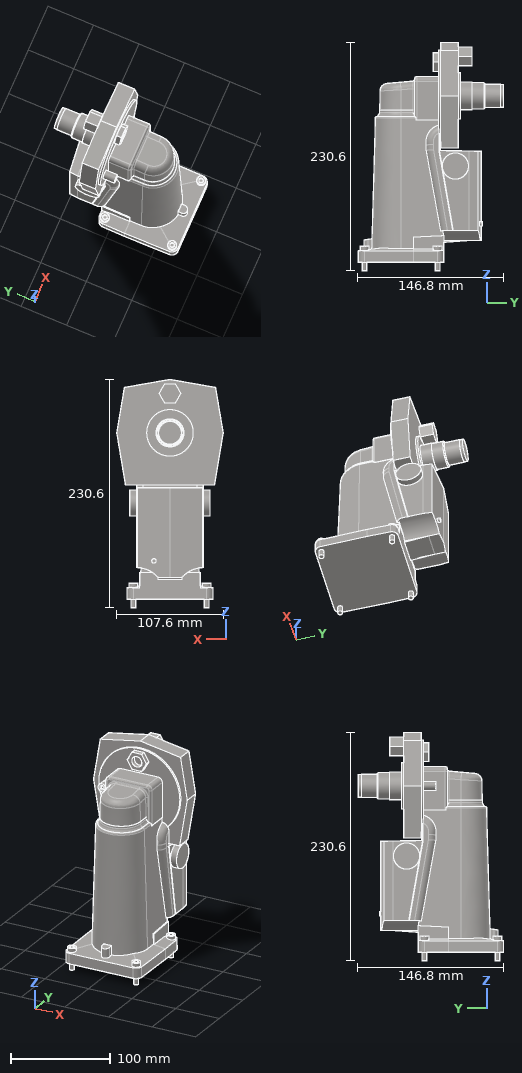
import cadquery as cq
import math

PLATE_HALF = 43.1
PLATE_CROWN_HALF = 43.6
PLATE_END_Y = 43.2
PLATE_EDGE_HEIGHT = 11.7
PLATE_CORNER_RADIUS = 6.5
APEX_Y = 12.4
APEX_HEIGHT = 18.5

SCREW_PITCH = 73.8
SCREW_HEAD_DIAMETER = 9.0
SCREW_HEAD_TOP = 16.3
SCREW_SHANK_DIAMETER = 5.0
SCREW_TIP_DEPTH = 8.62
SOCKET_ACROSS_CORNERS = 5.1
SOCKET_DEPTH = 2.5

TOWER_BASE_HEIGHT = 11.0
TOWER_TOP_HEIGHT = 147.4
TOWER_BASE_RADIUS = 30.0
TOWER_TOP_RADIUS = 26.1
TOWER_ARC_Y = 0.0
TOWER_BASE_BACK_Y = 43.2
TOWER_TOP_BACK_Y = 38.5
TOWER_RIM_FILLET = 1.9
PAD_HALF_WIDTH = 30.6
PAD_TOP_HEIGHT = 27.0
PAD_END_HEIGHT = 25.5

SELECTION_MARGIN = 0.5

CUT_OVERSHOOT = 1.0

HEAD_BASE_RADIUS = 22.0
HEAD_TOP_RADIUS = 21.0
HEAD_TOP_FRONT_HEIGHT = 180.0
HEAD_TOP_BACK_HEIGHT = 184.3
HEAD_FILLET = 8.0
SEAM_COVE_OUTER_RADIUS = 24.0
SEAM_COVE_MID = (22.4, 149.5)
SEAM_COVE_TOP_HEIGHT = 153.6
SEAM_COVE_TOP_RADIUS = 21.86
BLOCK_HALF_WIDTH = 26.4
BLOCK_FRONT_Y = 13.6
BLOCK_TOP_HEIGHT = 187.7
BLOCK_SIDE_FILLET = 5.0
BLOCK_FRONT_FILLET = 2.4
BLOCK_SEAM_FILLET = 1.8

PEG_DIAMETER = 8.8
PEG_FRONT_Y = -37.6
PEG_FRONT_HEIGHT = 22.7
PEG_BACK_HEIGHT = 23.9

AXIS_HEIGHT = 168.0
FLANGE_FRONT_Y = 40.0
FLANGE_BACK_Y = 57.9
FLANGE_WIDTH = 107.64
FLANGE_SHOULDER_HALF = 46.1
FLANGE_SHOULDER_HEIGHT = 213.9
FLANGE_TOP_HEIGHT = 222.0
FLANGE_BOTTOM_HALF = 45.0
FLANGE_BOTTOM_HEIGHT = 115.3
FRONT_DISC_DIAMETER = 93.0
FRONT_DISC_Y = 37.7
NUT_HEIGHT = 202.0
BOLT_HEAD_HEIGHT = 207.8
HEX_ACROSS_FLATS = 19.0
HEX_FRONT_Y = 32.4
HEX_BACK_Y = 71.8
HEX_BORE_DIAMETER = 11.45
FLANGE_SCREW_X = -36.0
FLANGE_SCREW_FRONT_Y = 25.2

SHAFT_STEPS = [
    (47.0, 60.1, 0),
    (28.3, 71.8, 0),
    (27.0, 84.7, 1.2),
    (23.5, 100.4, 0),
    (23.0, 103.59, 0),
]

HOUSING_HALF_WIDTH = 33.7
HOUSING_REAR_HALF_WIDTH = 32.8
HOUSING_BEND_Y = 68.5
HOUSING_EAVE_Y = 77.5
HOUSING_RIDGE_Y = 81.0
HOUSING_TOP_HEIGHT = 113.0
HOUSING_BEND_TOP_HEIGHT = 112.5
HOUSING_REAR_TOP_HEIGHT = 112.2
HOUSING_BOTTOM_HEIGHT = 22.0
HOUSING_BOTTOM_FRONT_HEIGHT = 20.0
HOUSING_FOOT_Y = 41.2
HOUSING_FRONT_Y = 25.3
SADDLE_SHOULDER_HEIGHT = 118.5
SADDLE_TOP_HEIGHT = 138.5
SADDLE_BACK_Y = 38.1
SADDLE_FILLET = 7.5
COVE_START_HEIGHT = 32.0
COVE_MID = (20.0, 28.5)
COVE_END_HALF_WIDTH = 12.0
GROOVE_WIDTH = 0.6
GROOVE_DEPTH = 0.3
GROOVE_FOOT_Y = 54.2
KNOB_DIAMETER = 26.44
KNOB_HALF_LENGTH = 40.6
KNOB_Y = 54.8
KNOB_HEIGHT = 97.2
BUTTON_DIAMETER = 4.5
BUTTON_X = 16.2
BUTTON_HEIGHT = 38.8
BUTTON_END_Y = 82.0


def cylinder_along_y(x, z, diameter, y_start, y_end):
    plane = cq.Plane(origin=(x, y_start, z), xDir=(1, 0, 0), normal=(0, 1, 0))
    return cq.Workplane(plane).circle(diameter / 2).extrude(y_end - y_start)


def profile_across_x(half_width):
    """Workplane with local axes Y and Z, set at the -X end of a symmetric extrusion."""
    return cq.Workplane("YZ", origin=(-half_width, 0, 0))


def base_plate():
    """Plate whose top is a shallow pyramid; its apex lies inside the tower."""
    outline = [
        (-PLATE_HALF, -PLATE_END_Y),
        (PLATE_HALF, -PLATE_END_Y),
        (PLATE_CROWN_HALF, APEX_Y),
        (PLATE_HALF, PLATE_END_Y),
        (-PLATE_HALF, PLATE_END_Y),
        (-PLATE_CROWN_HALF, APEX_Y),
    ]
    rim = [cq.Vector(x, y, PLATE_EDGE_HEIGHT) for x, y in outline]
    apex = cq.Vector(0, APEX_Y, APEX_HEIGHT)
    faces = [cq.Face.makeFromWires(cq.Wire.makePolygon(rim, close=True))]
    for start, end in zip(rim, rim[1:] + rim[:1]):
        faces.append(cq.Face.makeFromWires(cq.Wire.makePolygon([start, end, apex], close=True)))
    pyramid = cq.Solid.makeSolid(cq.Shell.makeShell(faces))
    slab = cq.Workplane("XY").polyline(outline).close().extrude(PLATE_EDGE_HEIGHT)
    prism = cq.Workplane("XY").polyline(outline).close().extrude(APEX_HEIGHT)
    corners = prism.edges("|Z").edges("<Y or >Y")
    return slab.union(cq.Workplane(pyramid)).intersect(corners.fillet(PLATE_CORNER_RADIUS))


def hex_socket(plane):
    return cq.Workplane(plane).polygon(6, SOCKET_ACROSS_CORNERS).extrude(SOCKET_DEPTH)


def base_screw(x, y):
    shank = (
        cq.Workplane("XY", origin=(x, y, -SCREW_TIP_DEPTH))
        .circle(SCREW_SHANK_DIAMETER / 2)
        .extrude(SCREW_TIP_DEPTH + PLATE_EDGE_HEIGHT)
    )
    head = (
        cq.Workplane("XY", origin=(x, y, PLATE_EDGE_HEIGHT / 2))
        .circle(SCREW_HEAD_DIAMETER / 2)
        .extrude(SCREW_HEAD_TOP - PLATE_EDGE_HEIGHT / 2)
    )
    socket_plane = cq.Plane(origin=(x, y, SCREW_HEAD_TOP), xDir=(0, 1, 0), normal=(0, 0, -1))
    return shank.union(head).cut(hex_socket(socket_plane))


def u_section(workplane, radius, back_y):
    """U outline: a half round of the given radius towards -Y, with straight sides to back_y."""
    return (
        workplane.moveTo(-radius, back_y)
        .lineTo(-radius, TOWER_ARC_Y)
        .threePointArc((0, TOWER_ARC_Y - radius), (radius, TOWER_ARC_Y))
        .lineTo(radius, back_y)
        .close()
    )


def tapered_u(z_bottom, z_top, bottom_radius, top_radius, bottom_back_y, top_back_y):
    base = cq.Workplane("XY", origin=(0, 0, z_bottom))
    bottom = u_section(base, bottom_radius, bottom_back_y)
    raised = bottom.workplane(offset=z_top - z_bottom)
    return u_section(raised, top_radius, top_back_y).loft(ruled=True)


def tower():
    body = tapered_u(
        TOWER_BASE_HEIGHT, TOWER_TOP_HEIGHT,
        TOWER_BASE_RADIUS, TOWER_TOP_RADIUS,
        TOWER_BASE_BACK_Y, TOWER_TOP_BACK_Y,
    )
    body = body.faces(">Z").edges("not >Y").fillet(TOWER_RIM_FILLET)
    pad = (
        profile_across_x(PAD_HALF_WIDTH)
        .moveTo(TOWER_BASE_BACK_Y, TOWER_BASE_HEIGHT)
        .lineTo(TOWER_BASE_BACK_Y, PAD_TOP_HEIGHT)
        .lineTo(APEX_Y, PAD_END_HEIGHT)
        .lineTo(APEX_Y, TOWER_BASE_HEIGHT)
        .close()
        .extrude(2 * PAD_HALF_WIDTH)
    )
    return body.union(pad)


def head():
    """U-shaped head with a top that slopes down to the front."""
    bottom = TOWER_TOP_HEIGHT - TOWER_RIM_FILLET
    back = (BLOCK_FRONT_Y + FLANGE_FRONT_Y) / 2
    body = tapered_u(bottom, BLOCK_TOP_HEIGHT, HEAD_BASE_RADIUS, HEAD_TOP_RADIUS, back, back)
    envelope = (
        profile_across_x(HEAD_BASE_RADIUS)
        .moveTo(back, bottom)
        .lineTo(back, HEAD_TOP_BACK_HEIGHT)
        .lineTo(-HEAD_BASE_RADIUS, HEAD_TOP_FRONT_HEIGHT)
        .lineTo(-HEAD_BASE_RADIUS, bottom)
        .close()
        .extrude(2 * HEAD_BASE_RADIUS)
    )
    return body.intersect(envelope)


def seam_cove_section():
    """Half section of the seam cove, drawn from the middle outwards."""
    bottom = TOWER_TOP_HEIGHT - TOWER_RIM_FILLET
    plane = cq.Plane(origin=(0, TOWER_ARC_Y, 0), xDir=(1, 0, 0), normal=(0, -1, 0))
    return (
        cq.Workplane(plane)
        .moveTo(0, bottom)
        .lineTo(SEAM_COVE_OUTER_RADIUS, bottom)
        .lineTo(SEAM_COVE_OUTER_RADIUS, TOWER_TOP_HEIGHT)
        .threePointArc(SEAM_COVE_MID, (SEAM_COVE_TOP_RADIUS, SEAM_COVE_TOP_HEIGHT))
        .lineTo(0, SEAM_COVE_TOP_HEIGHT)
        .close()
    )


def seam_cove():
    """Concave transition between the rim of the tower and the domed head, following the U outline."""
    round_front = seam_cove_section().revolve(360, (0, 0), (0, 1))
    length = BLOCK_FRONT_Y + BLOCK_FRONT_FILLET - TOWER_ARC_Y
    straight_side = seam_cove_section().extrude(-length)
    return round_front.union(straight_side).union(straight_side.mirror("YZ"))


def shoulder_block():
    bottom = TOWER_TOP_HEIGHT - 2 * TOWER_RIM_FILLET
    block = (
        cq.Workplane("XY")
        .box(
            2 * BLOCK_HALF_WIDTH,
            FLANGE_FRONT_Y - BLOCK_FRONT_Y,
            BLOCK_TOP_HEIGHT - bottom,
            centered=(True, False, False),
        )
        .translate((0, BLOCK_FRONT_Y, bottom))
    )
    block = block.edges("|Y and >Z").fillet(BLOCK_SIDE_FILLET)
    return block.faces("<Y").edges("not <Z").fillet(BLOCK_FRONT_FILLET)


def head_with_block():
    """Domed head joined to the shoulder block, with a concave fillet where they meet."""
    domed = head().faces(">Z").edges("not >Y").fillet(HEAD_FILLET)
    seam = cq.selectors.BoxSelector(
        (-HEAD_BASE_RADIUS, BLOCK_FRONT_Y - SELECTION_MARGIN, TOWER_TOP_HEIGHT),
        (HEAD_BASE_RADIUS, BLOCK_FRONT_Y + SELECTION_MARGIN, HEAD_TOP_BACK_HEIGHT),
    )
    return domed.union(shoulder_block()).edges(seam).fillet(BLOCK_SEAM_FILLET)


def peg():
    """Upright peg with a round front and a sloping top, merging into the foot of the tower."""
    back_y = -TOWER_BASE_RADIUS + PEG_DIAMETER / 2
    length = back_y - PEG_FRONT_Y + PEG_DIAMETER / 2
    center_y = PEG_FRONT_Y + length / 2
    blank = (
        cq.Workplane("XY", origin=(0, center_y, TOWER_BASE_HEIGHT))
        .slot2D(length, PEG_DIAMETER, 90)
        .extrude(PEG_BACK_HEIGHT - TOWER_BASE_HEIGHT)
    )
    envelope = (
        profile_across_x(PEG_DIAMETER)
        .moveTo(PEG_FRONT_Y, TOWER_BASE_HEIGHT)
        .lineTo(PEG_FRONT_Y, PEG_FRONT_HEIGHT)
        .lineTo(-TOWER_BASE_RADIUS, PEG_BACK_HEIGHT)
        .lineTo(back_y + PEG_DIAMETER, PEG_BACK_HEIGHT)
        .lineTo(back_y + PEG_DIAMETER, TOWER_BASE_HEIGHT)
        .close()
        .extrude(2 * PEG_DIAMETER)
    )
    return blank.intersect(envelope)


def hex_along_y(z, y_start, y_end):
    plane = cq.Plane(origin=(0, y_start, z), xDir=(1, 0, 0), normal=(0, 1, 0))
    across_corners = HEX_ACROSS_FLATS / math.cos(math.pi / 6)
    return cq.Workplane(plane).polygon(6, across_corners).extrude(y_end - y_start)


def flange():
    plate = (
        cq.Workplane("XZ", origin=(0, FLANGE_BACK_Y, 0))
        .polyline([
            (0, FLANGE_TOP_HEIGHT),
            (FLANGE_SHOULDER_HALF, FLANGE_SHOULDER_HEIGHT),
            (FLANGE_WIDTH / 2, AXIS_HEIGHT),
            (FLANGE_BOTTOM_HALF, FLANGE_BOTTOM_HEIGHT),
            (-FLANGE_BOTTOM_HALF, FLANGE_BOTTOM_HEIGHT),
            (-FLANGE_WIDTH / 2, AXIS_HEIGHT),
            (-FLANGE_SHOULDER_HALF, FLANGE_SHOULDER_HEIGHT),
        ])
        .close()
        .extrude(FLANGE_BACK_Y - FLANGE_FRONT_Y)
    )
    disc = cylinder_along_y(0, AXIS_HEIGHT, FRONT_DISC_DIAMETER, FRONT_DISC_Y, FLANGE_BACK_Y)
    return plate.union(disc)


def flange_hardware():
    nut_bore = cylinder_along_y(0, NUT_HEIGHT, HEX_BORE_DIAMETER, HEX_FRONT_Y, FRONT_DISC_Y)
    nut = hex_along_y(NUT_HEIGHT, HEX_FRONT_Y, FLANGE_FRONT_Y).cut(nut_bore)
    bolt_head = hex_along_y(BOLT_HEAD_HEIGHT, FLANGE_FRONT_Y, HEX_BACK_Y)
    screw = cylinder_along_y(
        FLANGE_SCREW_X, AXIS_HEIGHT, SCREW_HEAD_DIAMETER, FLANGE_SCREW_FRONT_Y, FLANGE_FRONT_Y
    )
    socket_plane = cq.Plane(
        origin=(FLANGE_SCREW_X, FLANGE_SCREW_FRONT_Y, AXIS_HEIGHT), xDir=(0, 0, 1), normal=(0, 1, 0)
    )
    return nut.union(bolt_head).union(screw.cut(hex_socket(socket_plane)))


def shaft():
    start = FLANGE_FRONT_Y
    body = cq.Workplane("XY")
    for diameter, end, chamfer in SHAFT_STEPS:
        step = cylinder_along_y(0, AXIS_HEIGHT, diameter, start, end)
        if chamfer:
            step = step.faces(">Y").chamfer(chamfer)
        body = body.union(step)
        start = end
    return body


def housing_plan():
    """Housing outline in X and Y, with its low roof-shaped rear."""
    height = SADDLE_TOP_HEIGHT - HOUSING_BOTTOM_FRONT_HEIGHT
    return (
        cq.Workplane("XY", origin=(0, 0, HOUSING_BOTTOM_FRONT_HEIGHT))
        .polyline([
            (HOUSING_HALF_WIDTH, HOUSING_FRONT_Y),
            (HOUSING_HALF_WIDTH, HOUSING_BEND_Y),
            (HOUSING_REAR_HALF_WIDTH, HOUSING_EAVE_Y),
            (0, HOUSING_RIDGE_Y),
            (-HOUSING_REAR_HALF_WIDTH, HOUSING_EAVE_Y),
            (-HOUSING_HALF_WIDTH, HOUSING_BEND_Y),
            (-HOUSING_HALF_WIDTH, HOUSING_FRONT_Y),
        ])
        .close()
        .extrude(height)
    )


def housing_side():
    """Housing profile in Y and Z: sloping front, arched saddle at the top, rounded front edges."""
    rise = SADDLE_TOP_HEIGHT - SADDLE_SHOULDER_HEIGHT
    run = SADDLE_BACK_Y - HOUSING_FRONT_Y
    arc_mid = (
        SADDLE_BACK_Y - run * math.cos(math.pi / 4),
        SADDLE_SHOULDER_HEIGHT + rise * math.sin(math.pi / 4),
    )
    side = (
        profile_across_x(HOUSING_HALF_WIDTH)
        .moveTo(HOUSING_BEND_Y, HOUSING_BOTTOM_HEIGHT)
        .lineTo(HOUSING_RIDGE_Y, HOUSING_BOTTOM_HEIGHT)
        .lineTo(HOUSING_RIDGE_Y, HOUSING_REAR_TOP_HEIGHT)
        .lineTo(HOUSING_BEND_Y, HOUSING_BEND_TOP_HEIGHT)
        .lineTo(SADDLE_BACK_Y, HOUSING_TOP_HEIGHT)
        .lineTo(SADDLE_BACK_Y, SADDLE_TOP_HEIGHT)
        .threePointArc(arc_mid, (HOUSING_FRONT_Y, SADDLE_SHOULDER_HEIGHT))
        .lineTo(HOUSING_FRONT_Y, HOUSING_TOP_HEIGHT)
        .lineTo(HOUSING_FOOT_Y, HOUSING_BOTTOM_FRONT_HEIGHT)
        .close()
        .extrude(2 * HOUSING_HALF_WIDTH)
    )
    lowest = HOUSING_BOTTOM_FRONT_HEIGHT + SELECTION_MARGIN
    front_edges = cq.selectors.BoxSelector(
        (-2 * HOUSING_HALF_WIDTH, HOUSING_FRONT_Y - SELECTION_MARGIN, lowest),
        (2 * HOUSING_HALF_WIDTH, SADDLE_BACK_Y - SELECTION_MARGIN, SADDLE_TOP_HEIGHT),
    )
    return side.edges(front_edges).edges("not |X").fillet(SADDLE_FILLET)


def housing():
    body = housing_side().intersect(housing_plan())
    for direction in (-1, 1):
        body = body.cut(bottom_cove(direction)).cut(parting_groove(direction))
    return body


def parting_groove(direction):
    """Shallow sloping groove on one flank, where the rear cover meets the body."""
    return (
        cq.Workplane("YZ", origin=(direction * (HOUSING_HALF_WIDTH - GROOVE_DEPTH), 0, 0))
        .polyline([
            (SADDLE_BACK_Y, HOUSING_TOP_HEIGHT),
            (SADDLE_BACK_Y + GROOVE_WIDTH, HOUSING_TOP_HEIGHT),
            (GROOVE_FOOT_Y + GROOVE_WIDTH, HOUSING_BOTTOM_FRONT_HEIGHT),
            (GROOVE_FOOT_Y, HOUSING_BOTTOM_FRONT_HEIGHT),
        ])
        .close()
        .extrude(direction * (GROOVE_DEPTH + CUT_OVERSHOOT))
    )


def bottom_cove(direction):
    """Concave relief along one lower edge of the housing; direction is the sign of x."""
    cove_length = HOUSING_RIDGE_Y - HOUSING_FRONT_Y
    outer = direction * (HOUSING_HALF_WIDTH + CUT_OVERSHOOT)
    return (
        cq.Workplane("XZ", origin=(0, HOUSING_RIDGE_Y, 0))
        .moveTo(outer, COVE_START_HEIGHT)
        .lineTo(direction * HOUSING_HALF_WIDTH, COVE_START_HEIGHT)
        .threePointArc(
            (direction * COVE_MID[0], COVE_MID[1]),
            (direction * COVE_END_HALF_WIDTH, HOUSING_BOTTOM_HEIGHT),
        )
        .lineTo(direction * COVE_END_HALF_WIDTH, 0)
        .lineTo(outer, 0)
        .close()
        .extrude(cove_length)
    )


def housing_fittings():
    knobs = (
        cq.Workplane("YZ", origin=(-KNOB_HALF_LENGTH, KNOB_Y, KNOB_HEIGHT))
        .circle(KNOB_DIAMETER / 2)
        .extrude(2 * KNOB_HALF_LENGTH)
    )
    button = cylinder_along_y(BUTTON_X, BUTTON_HEIGHT, BUTTON_DIAMETER, HOUSING_BEND_Y, BUTTON_END_Y)
    return knobs.union(button)


def base_screws():
    half_pitch = SCREW_PITCH / 2
    corners = [(x, y) for x in (-half_pitch, half_pitch) for y in (-half_pitch, half_pitch)]
    return [base_screw(x, y) for x, y in corners]


result = base_plate()
for component in [tower(), seam_cove(), head_with_block(), peg(), housing(), housing_fittings()]:
    result = result.union(component)
for component in [flange(), flange_hardware(), shaft()] + base_screws():
    result = result.union(component)